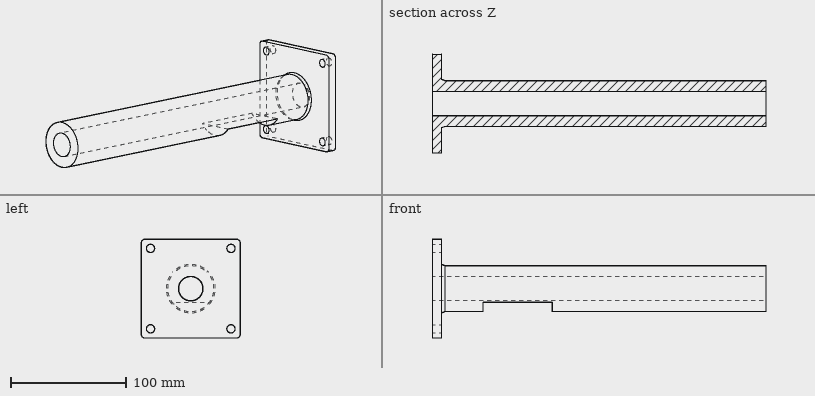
import cadquery as cq

total_length = 290.0

plate_side = 86.0
plate_thickness = 8.0
corner_radius = 3.5
bolt_spacing = 70.0
bolt_hole_diameter = 7.0

tube_diameter = 40.0
bore_diameter = 21.0
bore_chamfer = 0.3
collar_length = 3.0
collar_diameter = 42.3

cutout_start = 44.0
cutout_length = 60.0
cutout_floor_z = -12.0


def make_plate():
    return (
        cq.Workplane("YZ")
        .rect(plate_side, plate_side)
        .extrude(plate_thickness)
        .edges("|X")
        .fillet(corner_radius)
    )


def make_tube():
    """Solid of revolution about X: tapered collar, then the plain cylinder."""
    tube_radius = tube_diameter / 2
    return (
        cq.Workplane("XY")
        .moveTo(0, 0)
        .lineTo(0, tube_radius)
        .lineTo(plate_thickness, tube_radius)
        .lineTo(plate_thickness, collar_diameter / 2)
        .lineTo(plate_thickness + collar_length, tube_radius)
        .lineTo(total_length, tube_radius)
        .lineTo(total_length, 0)
        .close()
        .revolve(360, (0, 0, 0), (1, 0, 0))
    )


def make_bore():
    """Bore through plate and tube, chamfered at the plate's outer face."""
    bore_radius = bore_diameter / 2
    return (
        cq.Workplane("XY")
        .moveTo(0, 0)
        .lineTo(0, bore_radius + bore_chamfer)
        .lineTo(bore_chamfer, bore_radius)
        .lineTo(total_length, bore_radius)
        .lineTo(total_length, 0)
        .close()
        .revolve(360, (0, 0, 0), (1, 0, 0))
    )


def make_bolt_holes():
    return (
        cq.Workplane("YZ")
        .rect(bolt_spacing, bolt_spacing, forConstruction=True)
        .vertices()
        .circle(bolt_hole_diameter / 2)
        .extrude(plate_thickness)
    )


def make_cutout():
    """Block that removes the underside of the tube below the cutout floor."""
    cutout_depth = tube_diameter / 2 + cutout_floor_z
    return (
        cq.Workplane("XY", origin=(cutout_start, 0, cutout_floor_z))
        .rect(cutout_length, tube_diameter)
        .extrude(-cutout_depth)
        .translate((cutout_length / 2, 0, 0))
    )


result = (
    make_plate()
    .union(make_tube())
    .cut(make_bore())
    .cut(make_bolt_holes())
    .cut(make_cutout())
)